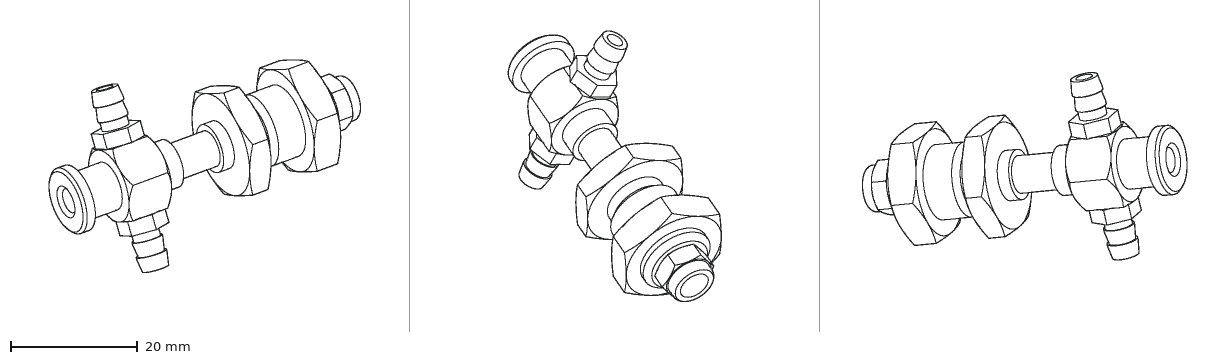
import math

import cadquery as cq

HEX_SIDES = 6
CORNERS_ON_X = 0
CORNERS_ON_Z = 90

TOTAL_LENGTH = 53.0
REAR_END = TOTAL_LENGTH / 2
FRONT_END = -TOTAL_LENGTH / 2

LOCK_NUT_LENGTH = 5.0
LOCK_NUT_COLLAR_LENGTH = 1.85
LOCK_NUT_COLLAR_DIAMETER = 7.45
LOCK_NUT_FLATS = 8.0
LOCK_NUT_CHAMFER = 0.3
COLLAR_ROUND_LENGTH = 0.65
COLLAR_ROUND_DEPTH = 0.3

BARREL_DIAMETER = 12.0
BARREL_CHAMFER = 1.0
BARREL_LENGTH = 13.0
UNDERCUT_DIAMETER = BARREL_DIAMETER - 2 * BARREL_CHAMFER
UNDERCUT_LENGTH = 2.0
HOUSING_HEX_LENGTH = 4.05
BOSS_DIAMETER = 8.0
BOSS_LENGTH = 2.0

LARGE_FLATS = 17.0
LARGE_CHAMFER = 0.6

MOUNTING_NUT_LENGTH = 5.0
MOUNTING_NUT_SETBACK = 1.95

ROD_DIAMETER = 6.0
ROD_TAIL_DIAMETER = 5.0
ROD_EXPOSED_LENGTH = 7.45

STEM_DIAMETER = 8.0
HEAD_FLATS = 12.0
HEAD_HEX_LENGTH = 8.0
HEAD_HEX_CHAMFER = 0.75
HEAD_HEX_SETBACK = 3.5
FLANGE_DIAMETER = 11.0
FLANGE_LENGTH = 2.0
FLANGE_CHAMFER = 0.5
PORT_DIAMETER = 4.05
PORT_MOUTH_DIAMETER = 5.3

BARB_ANGLES = (-30, 150)
BARB_HEX_FLATS = 7.0
BARB_HEX_HEIGHT = 2.5
BARB_NECK_HEIGHT = 1.55
BARB_RIDGE_COUNT = 2
BARB_RIDGE_PITCH = 2.5
BARB_BAND_HEIGHT = 0.5
BARB_NECK_DIAMETER = 4.45
BARB_RIDGE_DIAMETER = 5.0
BARB_TIP_DIAMETER = 4.35
BARB_BORE_DIAMETER = 2.65

HOUSING_REAR = REAR_END - LOCK_NUT_LENGTH
BARREL_FRONT = HOUSING_REAR - BARREL_LENGTH
HOUSING_HEX_REAR = BARREL_FRONT - UNDERCUT_LENGTH
HOUSING_HEX_FRONT = HOUSING_HEX_REAR - HOUSING_HEX_LENGTH
HOUSING_FRONT = HOUSING_HEX_FRONT - BOSS_LENGTH
MOUNTING_NUT_REAR = HOUSING_REAR - MOUNTING_NUT_SETBACK
HEAD_REAR = HOUSING_FRONT - ROD_EXPOSED_LENGTH
HEAD_HEX_REAR = HEAD_REAR - HEAD_HEX_SETBACK
HEAD_HEX_CENTRE = HEAD_HEX_REAR - HEAD_HEX_LENGTH / 2


def corner_diameter(flats):
    """Diameter through the corners of a hexagon with the given size across flats."""
    return flats / math.cos(math.pi / HEX_SIDES)


def cylinder(diameter, rear, front):
    """Cylinder on the Y axis between two stations."""
    return cq.Workplane("XZ", origin=(0, rear, 0)).circle(diameter / 2).extrude(rear - front)


def hexagon(flats, rear, length, chamfer, corner_turn):
    """Hexagonal prism on the Y axis with coned corners.

    Each cone leaves a circle as wide as the flats on the end face and
    reaches the corners at the chamfer length.
    """
    front = rear - length
    face_radius = flats / 2
    corner_radius = corner_diameter(flats) / 2
    prism = (
        cq.Workplane("XZ", origin=(0, rear, 0))
        .polygon(HEX_SIDES, 2 * corner_radius)
        .extrude(length)
        .rotate((0, 0, 0), (0, 1, 0), corner_turn)
    )
    coned_blank = (
        cq.Workplane("XY")
        .moveTo(0, rear)
        .lineTo(face_radius, rear)
        .lineTo(corner_radius, rear - chamfer)
        .lineTo(corner_radius, front + chamfer)
        .lineTo(face_radius, front)
        .lineTo(0, front)
        .close()
        .revolve(360, (0, 0, 0), (0, 1, 0))
    )
    return prism.intersect(coned_blank)


def make_lock_nut():
    """Hexagon with a round collar whose outer edge is rounded, threaded on the rod tail."""
    hex_rear = REAR_END - LOCK_NUT_COLLAR_LENGTH
    hex_length = LOCK_NUT_LENGTH - LOCK_NUT_COLLAR_LENGTH
    collar_radius = LOCK_NUT_COLLAR_DIAMETER / 2
    collar = (
        cq.Workplane("XY")
        .moveTo(0, hex_rear)
        .lineTo(collar_radius, hex_rear)
        .lineTo(collar_radius, REAR_END - COLLAR_ROUND_LENGTH)
        .tangentArcPoint((collar_radius - COLLAR_ROUND_DEPTH, REAR_END), relative=False)
        .lineTo(0, REAR_END)
        .close()
        .revolve(360, (0, 0, 0), (0, 1, 0))
    )
    nut = hexagon(LOCK_NUT_FLATS, hex_rear, hex_length, LOCK_NUT_CHAMFER, CORNERS_ON_X).union(collar)
    return nut.cut(cylinder(ROD_TAIL_DIAMETER, REAR_END, HOUSING_REAR))


def make_mounting_nut():
    """Large hexagon nut around the barrel."""
    nut = hexagon(LARGE_FLATS, MOUNTING_NUT_REAR, MOUNTING_NUT_LENGTH, LARGE_CHAMFER, CORNERS_ON_Z)
    nut_front = MOUNTING_NUT_REAR - MOUNTING_NUT_LENGTH
    return nut.cut(cylinder(BARREL_DIAMETER, MOUNTING_NUT_REAR, nut_front))


def make_housing():
    """Chamfered barrel, undercut, hexagon and boss, bored for the rod."""
    barrel = cylinder(BARREL_DIAMETER, HOUSING_REAR, BARREL_FRONT)
    barrel = barrel.faces("<Y or >Y").chamfer(BARREL_CHAMFER)
    undercut = cylinder(UNDERCUT_DIAMETER, BARREL_FRONT, HOUSING_HEX_REAR)
    hex_flange = hexagon(LARGE_FLATS, HOUSING_HEX_REAR, HOUSING_HEX_LENGTH, LARGE_CHAMFER, CORNERS_ON_Z)
    boss = cylinder(BOSS_DIAMETER, HOUSING_HEX_FRONT, HOUSING_FRONT)
    rod_bore = cylinder(ROD_DIAMETER, HOUSING_REAR, HOUSING_FRONT)
    return barrel.union(undercut).union(hex_flange).union(boss).cut(rod_bore)


def make_rod():
    """Rod from the head through the housing, with a thinner tail inside the lock nut."""
    tail = cylinder(ROD_TAIL_DIAMETER, REAR_END, HOUSING_REAR)
    return cylinder(ROD_DIAMETER, HOUSING_REAR, HEAD_REAR).union(tail)


def make_head():
    """Stem with a hexagon and a front flange, and a blind port in the front face."""
    stem = cylinder(STEM_DIAMETER, HEAD_REAR, FRONT_END)
    head_hex = hexagon(HEAD_FLATS, HEAD_HEX_REAR, HEAD_HEX_LENGTH, HEAD_HEX_CHAMFER, CORNERS_ON_Z)
    flange = cylinder(FLANGE_DIAMETER, FRONT_END + FLANGE_LENGTH, FRONT_END)
    flange = flange.faces("<Y").chamfer(FLANGE_CHAMFER)
    port_depth = HEAD_HEX_CENTRE - FRONT_END
    mouth_depth = (PORT_MOUTH_DIAMETER - PORT_DIAMETER) / 2
    port = (
        cq.Workplane("XY")
        .moveTo(0, FRONT_END)
        .lineTo(PORT_MOUTH_DIAMETER / 2, FRONT_END)
        .lineTo(PORT_DIAMETER / 2, FRONT_END + mouth_depth)
        .lineTo(PORT_DIAMETER / 2, FRONT_END + port_depth)
        .lineTo(0, FRONT_END + port_depth)
        .close()
        .revolve(360, (0, 0, 0), (0, 1, 0))
    )
    return stem.union(head_hex).union(flange).cut(port)


def make_barb(angle):
    """Hose barb standing on a flat of the head, turned about Y from +Z by the angle."""
    base = HEAD_FLATS / 2
    hex_top = base + BARB_HEX_HEIGHT
    hex_foot = (
        cq.Workplane("XY", origin=(0, 0, base))
        .polygon(HEX_SIDES, corner_diameter(BARB_HEX_FLATS))
        .extrude(BARB_HEX_HEIGHT)
    )

    first_ridge = hex_top + BARB_NECK_HEIGHT
    tip = first_ridge + BARB_RIDGE_COUNT * BARB_RIDGE_PITCH
    profile = (
        cq.Workplane("XZ")
        .moveTo(0, hex_top)
        .lineTo(BARB_NECK_DIAMETER / 2, hex_top)
        .lineTo(BARB_NECK_DIAMETER / 2, first_ridge)
    )
    for ridge in range(BARB_RIDGE_COUNT):
        shoulder = first_ridge + ridge * BARB_RIDGE_PITCH
        profile = (
            profile.lineTo(BARB_RIDGE_DIAMETER / 2, shoulder)
            .lineTo(BARB_RIDGE_DIAMETER / 2, shoulder + BARB_BAND_HEIGHT)
            .lineTo(BARB_TIP_DIAMETER / 2, shoulder + BARB_RIDGE_PITCH)
        )
    spout = profile.lineTo(0, tip).close().revolve(360, (0, 0, 0), (0, 1, 0))

    bore = (
        cq.Workplane("XY", origin=(0, 0, base))
        .circle(BARB_BORE_DIAMETER / 2)
        .extrude(tip - base)
    )
    return (
        hex_foot.union(spout)
        .cut(bore)
        .rotate((0, 0, 0), (0, 1, 0), angle)
        .translate((0, HEAD_HEX_CENTRE, 0))
    )


lock_nut = make_lock_nut()
mounting_nut = make_mounting_nut()
housing = make_housing()
rod = make_rod()
head = make_head()
barbs = [make_barb(angle) for angle in BARB_ANGLES]

result = cq.Compound.makeCompound(
    [
        lock_nut.val(),
        mounting_nut.val(),
        housing.val(),
        rod.val(),
        head.val(),
        *[barb.val() for barb in barbs],
    ]
)